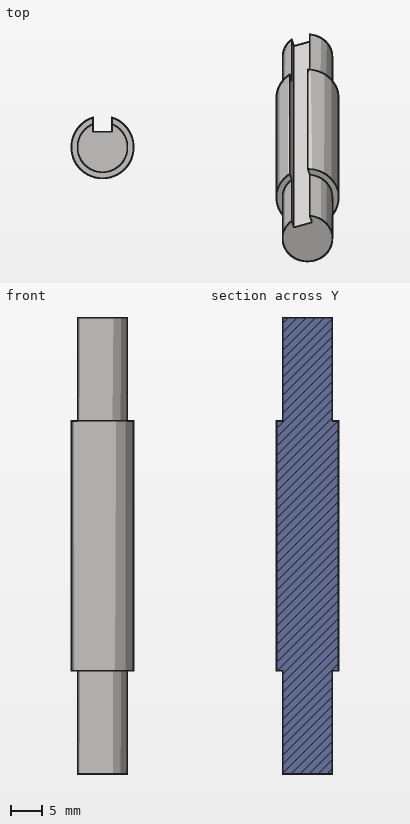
import cadquery as cq

body_diameter = 10.0
body_length = 40.0
journal_diameter = 8.0
journal_length = 16.5
total_length = body_length + 2 * journal_length

keyway_width = 3.0
keyway_floor_y = 2.5


def cylinder(diameter, length):
    """Cylinder centred on the origin along Z."""
    return cq.Workplane("XY").circle(diameter / 2).extrude(length / 2, both=True)


def keyway_cutter():
    """Box from the keyway floor out past the body surface."""
    return (
        cq.Workplane("XY")
        .box(keyway_width, body_diameter, total_length, centered=(True, False, True))
        .translate((0, keyway_floor_y, 0))
    )


shaft = cylinder(journal_diameter, total_length).union(cylinder(body_diameter, body_length))
result = shaft.cut(keyway_cutter())